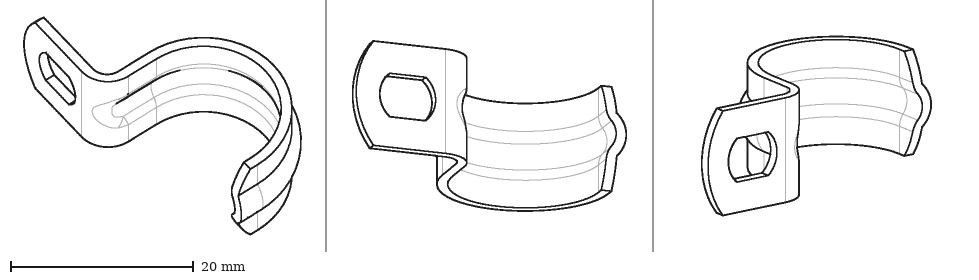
import cadquery as cq
import math

width = 12.0
thickness = 1.2
overall_length = 33.2
overall_depth = 18.2
saddle_inner_radius = 8.5
saddle_outer_radius = saddle_inner_radius + thickness
bend_outer_radius = 3.65
bend_inner_radius = 2.0

bead_height = 1.0
bead_outer_radius = 3.55
groove_radius = bead_outer_radius - thickness
groove_edge_radius = 2.1
bead_bend_radius = 2.8
bead_bend_y = 3.2
groove_mouth_radius = 2.0

end_radius = 9.95
end_sag = end_radius - math.sqrt(end_radius**2 - (width / 2) ** 2)
tip_y = 4.55

hole_x = 6.0
hole_diameter = 6.5
hole_height = 4.98

saddle_x = overall_length - saddle_outer_radius - bead_height
saddle_y = overall_depth - saddle_outer_radius - bead_height
leg_inside_x = saddle_x - saddle_inner_radius
leg_outside_x = saddle_x - saddle_outer_radius
bead_bend_x = leg_outside_x - bead_height - bead_bend_radius
diagonal = math.sqrt(0.5)


def centered_extrude(outline):
    return outline.extrude(width / 2, both=True)


def make_strap():
    outer_bend_x = leg_inside_x - bend_outer_radius
    inner_bend_x = leg_outside_x - bend_inner_radius
    inner_bend_y = thickness + bend_inner_radius
    outline = (
        cq.Workplane("XY")
        .lineTo(outer_bend_x, 0)
        .threePointArc(
            (outer_bend_x + bend_outer_radius * diagonal, bend_outer_radius * (1 - diagonal)),
            (leg_inside_x, bend_outer_radius),
        )
        .lineTo(leg_inside_x, saddle_y)
        .threePointArc((saddle_x, saddle_y + saddle_inner_radius), (saddle_x + saddle_inner_radius, saddle_y))
        .lineTo(saddle_x + saddle_inner_radius, tip_y)
        .lineTo(saddle_x + saddle_outer_radius, tip_y)
        .lineTo(saddle_x + saddle_outer_radius, saddle_y)
        .threePointArc((saddle_x, saddle_y + saddle_outer_radius), (leg_outside_x, saddle_y))
        .lineTo(leg_outside_x, inner_bend_y)
        .threePointArc(
            (inner_bend_x + bend_inner_radius * diagonal, inner_bend_y - bend_inner_radius * diagonal),
            (inner_bend_x, thickness),
        )
        .lineTo(0, thickness)
        .close()
    )
    return centered_extrude(outline)


def bead_section(plane, outward):
    """Outer bead arc, closed by a chord inside the strap; height 0 is the saddle axis."""
    center = saddle_outer_radius + bead_height - bead_outer_radius
    chord = saddle_outer_radius - thickness / 4
    half_chord = math.sqrt(bead_outer_radius**2 - (chord - center) ** 2)
    return (
        cq.Workplane(plane)
        .moveTo(outward * chord, -half_chord)
        .threePointArc((outward * (center + bead_outer_radius), 0), (outward * chord, half_chord))
        .close()
    )


def groove_section(plane, outward):
    """Groove arc blended into the inside face of the strap by a round on each edge."""
    center = saddle_outer_radius + bead_height - bead_outer_radius
    edge_center = saddle_inner_radius + groove_edge_radius
    spacing = groove_radius + groove_edge_radius
    half_width = math.sqrt(spacing**2 - (edge_center - center) ** 2)
    joint = center + (edge_center - center) * groove_radius / spacing
    joint_z = half_width * groove_radius / spacing
    edge_angle = math.atan2(half_width - joint_z, edge_center - joint) / 2
    middle = edge_center - groove_edge_radius * math.cos(edge_angle)
    middle_z = half_width - groove_edge_radius * math.sin(edge_angle)
    floor = saddle_inner_radius - thickness / 4
    return (
        cq.Workplane(plane)
        .moveTo(outward * floor, -half_width)
        .lineTo(outward * saddle_inner_radius, -half_width)
        .threePointArc((outward * middle, -middle_z), (outward * joint, -joint_z))
        .threePointArc((outward * (center + groove_radius), 0), (outward * joint, joint_z))
        .threePointArc((outward * middle, middle_z), (outward * saddle_inner_radius, half_width))
        .lineTo(outward * floor, half_width)
        .close()
    )


def follow_strap(section, leg_end_y):
    """Carry a section around the saddle, to the tip and down the leg to the given height."""
    saddle_plane = cq.Plane((saddle_x, saddle_y, 0), (1, 0, 0), (0, -1, 0))
    arch = section(saddle_plane, 1).revolve(180, (0, 0), (0, 1))
    tip_side = section(saddle_plane, 1).extrude(saddle_y - tip_y)
    leg = section(saddle_plane, -1).extrude(saddle_y - leg_end_y)
    return arch.union(tip_side).union(leg)


def make_bead_bend():
    """Turn the bead from the leg into the foot, kept inside the strap's outer surface."""
    bend_plane = cq.Plane((saddle_x, bead_bend_y, 0), (1, 0, 0), (0, -1, 0))
    axis_x = bead_bend_x - saddle_x
    turned_bead = bead_section(bend_plane, -1).revolve(90, (axis_x, 0.33), (axis_x, 0))
    return turned_bead.intersect(make_bend_side())


def make_bend_side():
    """Everything on the foot side of the strap's outer bend surface."""
    bend_x = leg_inside_x - bend_outer_radius
    outline = (
        cq.Workplane("XY")
        .lineTo(bend_x, 0)
        .threePointArc(
            (bend_x + bend_outer_radius * diagonal, bend_outer_radius * (1 - diagonal)),
            (leg_inside_x, bend_outer_radius),
        )
        .lineTo(0, bend_outer_radius)
        .close()
    )
    return centered_extrude(outline)


def make_end_limits():
    """Envelope with a round foot end and a round saddle tip."""
    half_width = width / 2
    foot_limit = (
        cq.Workplane("XZ")
        .moveTo(end_sag, -half_width)
        .threePointArc((0, 0), (end_sag, half_width))
        .lineTo(overall_length, half_width)
        .lineTo(overall_length, -half_width)
        .close()
        .extrude(-overall_depth)
    )
    tip_limit = (
        cq.Workplane("YZ", origin=(saddle_x, 0, 0))
        .moveTo(0, -half_width)
        .lineTo(tip_y + end_sag, -half_width)
        .threePointArc((tip_y, 0), (tip_y + end_sag, half_width))
        .lineTo(0, half_width)
        .close()
        .extrude(overall_length - saddle_x)
    )
    return foot_limit.cut(tip_limit)


def make_hole():
    round_hole = cq.Workplane("XZ").center(hole_x, 0).circle(hole_diameter / 2).extrude(-thickness)
    flats = cq.Workplane("XZ").center(hole_x, 0).rect(hole_diameter, hole_height).extrude(-thickness)
    return round_hole.intersect(flats)


strap = (
    make_strap()
    .union(follow_strap(bead_section, bead_bend_y))
    .union(make_bead_bend())
    .cut(follow_strap(groove_section, 0))
)

mouth_zone = cq.selectors.BoxSelector(
    (leg_outside_x, 0, -groove_radius),
    (leg_inside_x, bend_outer_radius - bead_height, groove_radius),
)
strap = strap.edges(mouth_zone).fillet(groove_mouth_radius)

result = strap.intersect(make_end_limits()).cut(make_hole())